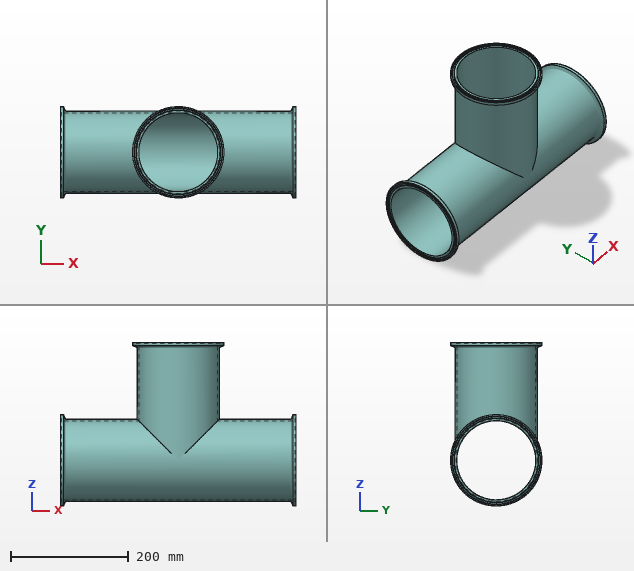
import cadquery as cq
import math

run_length = 400.0
arm_length = run_length / 2

tube_radius = 140.0 / 2
bore_radius = 134.0 / 2
flange_radius = 155.0 / 2
rim_thickness = 5.5
flange_back_angle = 20.0
neck_fillet_radius = 2.5

groove_outer_radius = 75.0
groove_inner_radius = 71.0
groove_depth = 1.5
groove_side_inset = 1.0


def arm_body():
    """Solid tube arm along +Z with its clamp flange at the far end."""
    slope = math.tan(math.radians(flange_back_angle))
    rim_bottom = arm_length - rim_thickness
    cone_bottom = rim_bottom - (flange_radius - tube_radius) * slope

    corner_angle = math.radians(90 + flange_back_angle)
    tangent_length = neck_fillet_radius / math.tan(corner_angle / 2)
    back_angle = math.radians(flange_back_angle)
    fillet_center = (tube_radius + neck_fillet_radius, cone_bottom - tangent_length)
    cone_tangent = (
        tube_radius + tangent_length * math.cos(back_angle),
        cone_bottom + tangent_length * math.sin(back_angle),
    )
    mid_angle = math.radians(180) - (math.pi - corner_angle) / 2
    fillet_middle = (
        fillet_center[0] + neck_fillet_radius * math.cos(mid_angle),
        fillet_center[1] + neck_fillet_radius * math.sin(mid_angle),
    )
    return (
        cq.Workplane("XZ")
        .moveTo(0, 0)
        .lineTo(tube_radius, 0)
        .lineTo(tube_radius, fillet_center[1])
        .threePointArc(fillet_middle, cone_tangent)
        .lineTo(flange_radius, rim_bottom)
        .lineTo(flange_radius, arm_length)
        .lineTo(0, arm_length)
        .close()
        .revolve(360, (0, 0, 0), (0, 1, 0))
    )


def gasket_groove():
    """Ring to remove from the flange face of an arm along +Z."""
    groove_bottom = arm_length - groove_depth
    return (
        cq.Workplane("XZ")
        .moveTo(groove_inner_radius, arm_length)
        .lineTo(groove_inner_radius + groove_side_inset, groove_bottom)
        .lineTo(groove_outer_radius - groove_side_inset, groove_bottom)
        .lineTo(groove_outer_radius, arm_length)
        .close()
        .revolve(360, (0, 0, 0), (0, 1, 0))
    )


def turn_to_x(shape, angle):
    """Swing a shape from +Z about the Y axis."""
    return shape.rotate((0, 0, 0), (0, 1, 0), angle)


flanged_arm = arm_body().cut(gasket_groove())
run = turn_to_x(flanged_arm, 90).union(turn_to_x(flanged_arm, -90))

tee = run.union(flanged_arm)

run_bore = cq.Workplane("YZ").circle(bore_radius).extrude(arm_length, both=True)
branch_bore = cq.Workplane("XY").circle(bore_radius).extrude(arm_length)

result = tee.cut(run_bore).cut(branch_bore)